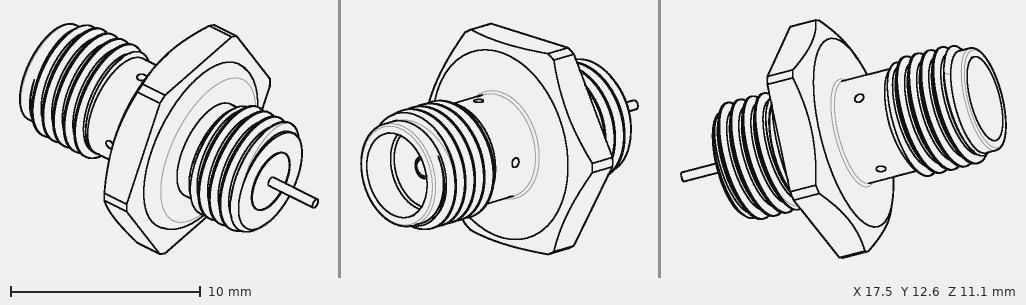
import cadquery as cq
import math


thread_start = 0.72
thread_end = 4.55
hex_front = 7.61
hex_back = 9.76
collar_back = 10.4
rear_thread_start = 11.25
housing_end = 14.52

barrel_dia = 5.58
neck_dia = 5.4
collar_dia = 9.57
mouth_round = 0.12
barrel_fillet = 0.14

hex_flats = 11.13
hex_corner_dia = 12.56
hex_face_dia = 10.25
hex_chamfer_angle = 30

thread_dia = 6.42
thread_pitch = 0.7
ridge_base = 0.55
ridge_crest = 0.09
ridge_root_depth = 0.07
front_phase = 0.68
rear_phase = 11.69
lead_in = 0.42
envelope_clearance = 0.09

bore_dia = 4.57
seat_dia = 4.38
bore_depth = 1.92
seat_taper = 0.18

core_step = hex_front
core_rear_dia = 3.3
core_end = 14.58
wire_dia = 0.5
wire_end = 17.5
groove_outer_dia = 1.19
groove_inner_dia = 0.95
groove_depth = 0.07
peg_dia = 0.5
peg_x = 6.02
peg_reach = 2.78


def cylinder(dia, x_start, x_end):
    """Solid cylinder along the X axis."""
    return cq.Workplane("YZ", origin=(x_start, 0, 0)).circle(dia / 2).extrude(x_end - x_start)


def revolved(points):
    """Revolve an outline of (x, radius) points about the X axis."""
    return cq.Workplane("XY").polyline(points).close().revolve(360, (0, 0, 0), (1, 0, 0))


def thread(x_start, x_end, phase):
    """Helical ridge trimmed to a cylinder with sloped ends."""
    root = barrel_dia / 2
    crest = thread_dia / 2
    inner = root - ridge_root_depth
    flank_slope = (ridge_base - ridge_crest) / 2 / (crest - root)
    half_inner = ridge_base / 2 + ridge_root_depth * flank_slope
    half_crest = ridge_crest / 2

    turns_ahead = math.ceil((phase - x_start) / thread_pitch) + 1
    helix_start = phase - turns_ahead * thread_pitch
    helix_length = x_end - helix_start + thread_pitch
    helix = cq.Wire.makeHelix(thread_pitch, helix_length, root)
    profile = [(inner, -half_inner), (crest, -half_crest), (crest, half_crest), (inner, half_inner)]
    ridge = cq.Workplane("XZ").polyline(profile).close().sweep(cq.Workplane(obj=helix), isFrenet=True)
    ridge = ridge.rotate((0, 0, 0), (0, 1, 0), 90).translate((helix_start, 0, 0))

    lead_slope = lead_in / (crest - root)
    slope_length = lead_in + envelope_clearance * lead_slope
    envelope = revolved([
        (x_start, 0),
        (x_start, root),
        (x_start + slope_length, crest + envelope_clearance),
        (x_end - slope_length, crest + envelope_clearance),
        (x_end, root),
        (x_end, 0),
    ])
    return ridge.intersect(envelope)


def hex_flange():
    """Hexagon with flats on +Z and -Z, turned corners and a conical front chamfer."""
    across_corners = hex_flats / math.cos(math.radians(30))
    prism = (
        cq.Workplane("YZ", origin=(hex_front, 0, 0))
        .polygon(6, across_corners)
        .extrude(hex_back - hex_front)
    )
    chamfer_rise = (hex_corner_dia - hex_face_dia) / 2
    chamfer_length = chamfer_rise * math.tan(math.radians(hex_chamfer_angle))
    turned = revolved([
        (hex_front, 0),
        (hex_front, hex_face_dia / 2),
        (hex_front + chamfer_length, hex_corner_dia / 2),
        (hex_back, hex_corner_dia / 2),
        (hex_back, 0),
    ])
    return prism.intersect(turned)


def collar():
    """Round collar whose outer edge is rounded over its whole thickness."""
    collar_round = collar_back - hex_back
    flat_radius = collar_dia / 2 - collar_round
    arc_reach = collar_round * math.sqrt(0.5)
    return (
        cq.Workplane("XY")
        .moveTo(hex_back, 0)
        .lineTo(hex_back, collar_dia / 2)
        .threePointArc((hex_back + arc_reach, flat_radius + arc_reach), (collar_back, flat_radius))
        .lineTo(collar_back, 0)
        .close()
        .revolve(360, (0, 0, 0), (1, 0, 0))
    )


def crossed_bars(reach):
    """Two round bars crossing on the axis, along Y and Z, each `reach` long both ways."""
    along_y = cq.Workplane("XZ", origin=(peg_x, 0, 0)).circle(peg_dia / 2).extrude(reach, both=True)
    along_z = cq.Workplane("XY", origin=(peg_x, 0, 0)).circle(peg_dia / 2).extrude(reach, both=True)
    return along_y.union(along_z)


def make_housing():
    barrel = cylinder(barrel_dia, 0, hex_front).faces("<X").edges().fillet(mouth_round)
    neck = cylinder(neck_dia, collar_back, rear_thread_start)
    rear = cylinder(barrel_dia, rear_thread_start, housing_end)
    body = barrel.union(hex_flange())
    root_box = cq.selectors.BoxSelector(
        (hex_front - barrel_fillet, -thread_dia / 2, -thread_dia / 2),
        (hex_front + barrel_fillet, thread_dia / 2, thread_dia / 2),
        boundingbox=True,
    )
    body = body.edges(root_box).fillet(barrel_fillet)
    body = body.union(collar()).union(neck).union(rear)
    body = body.cut(cylinder(bore_dia, 0, bore_depth - seat_taper))
    body = body.cut(revolved([
        (bore_depth - seat_taper, 0),
        (bore_depth - seat_taper, bore_dia / 2),
        (bore_depth, seat_dia / 2),
        (bore_depth, 0),
    ]))
    body = body.cut(cylinder(seat_dia, bore_depth, core_step))
    body = body.cut(cylinder(core_rear_dia, core_step, housing_end))
    body = body.cut(crossed_bars(barrel_dia))
    body = body.union(thread(thread_start, thread_end, front_phase))
    return body.union(thread(rear_thread_start, housing_end, rear_phase))


def make_core():
    body = cylinder(seat_dia, bore_depth, core_step)
    body = body.union(cylinder(core_rear_dia, core_step, core_end))
    body = body.union(cylinder(wire_dia, core_end, wire_end))
    body = body.union(crossed_bars(peg_reach))
    groove = cylinder(groove_outer_dia, bore_depth, bore_depth + groove_depth)
    groove = groove.cut(cylinder(groove_inner_dia, bore_depth, bore_depth + groove_depth))
    return body.cut(groove)


housing = make_housing()
core = make_core()
result = cq.Compound.makeCompound([housing.val(), core.val()])